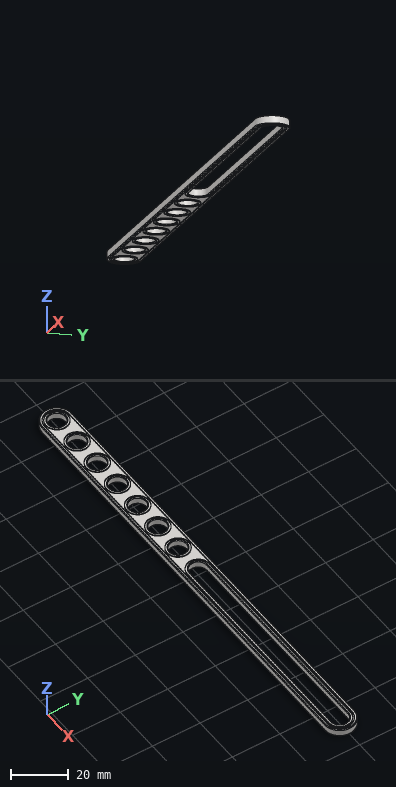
import cadquery as cq

length = 187.5
thickness = 3.2
pitch_count = 15
hole_count = 7

collar_diameter = 9.2
wall = 1.09
bevel = 0.3
recess_depth = 0.3

pitch = length / pitch_count
width = pitch
hole_diameter = collar_diameter - 2 * wall

first_hole_x = (pitch - length) / 2
hole_points = [(first_hole_x + i * pitch, 0) for i in range(hole_count)]
slot_start_x = first_hole_x + hole_count * pitch
slot_end_x = (length - pitch) / 2


def rounded_bar(start_x, end_x, bar_width, bottom, height):
    """Round-ended bar between two end centres on the X axis."""
    return (
        cq.Workplane("XY", origin=((start_x + end_x) / 2, 0, bottom))
        .slot2D(end_x - start_x + bar_width, bar_width)
        .extrude(height)
    )


def openings(diameter, bottom, height):
    """Solids that follow all round holes and the long slot."""
    holes = (
        cq.Workplane("XY", origin=(0, 0, bottom))
        .pushPoints(hole_points)
        .circle(diameter / 2)
        .extrude(height)
    )
    return holes.union(rounded_bar(slot_start_x, slot_end_x, diameter, bottom, height))


def cut_both_faces(body, cutter):
    """Cut the cutter and its mirror image about the mid-plane Z = 0."""
    return body.cut(cutter).cut(cutter.mirror("XY"))


top = thickness / 2

plate = rounded_bar(first_hole_x, slot_end_x, width, -top, thickness)
plate = plate.faces("<Z or >Z").chamfer(bevel)

floor_z = top - recess_depth
recess = rounded_bar(first_hole_x, slot_end_x, width - 2 * wall, floor_z, recess_depth)
recess = recess.cut(openings(collar_diameter, floor_z, recess_depth))
plate = cut_both_faces(plate, recess)

plate = plate.cut(openings(hole_diameter, -top, thickness))
countersink = openings(hole_diameter + 2 * bevel, top - bevel, 2 * bevel)
countersink = countersink.faces("<Z").chamfer(bevel)
result = cut_both_faces(plate, countersink)